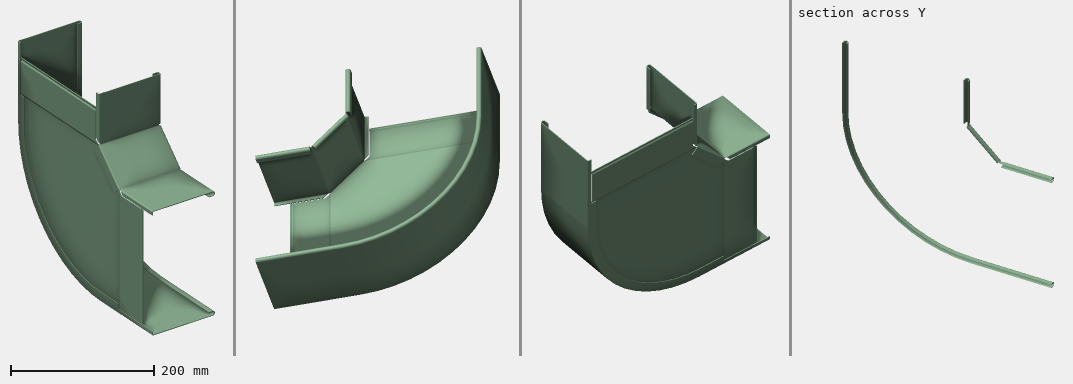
import cadquery as cq
import math


sheet = 1.2
length = 325.0
depth = 107.0
duct_width = 196.0
outer_radius = 200.0
inner_corner = 245.0
corner_radius = 1.6

front_bend = 2.0
lip_width = 7.5
lip_radius = lip_width / 2
hook_length = 10.0
slant_hook = 4.0
narrow_flange = 6.5
wide_flange = 15.0
wide_flange_end = inner_corner - 2.0
lip_gap = 1.0
mitre_offset = 2.5

tongue_margin = 8.2
tongue_end = 302.0
joggle_length = 3.0
flare_offset = 2.5
groove_start = 295.6
groove_slope = 1.8
groove_floor = 1.6
groove_depth = sheet

Y_AXIS = cq.Vector(0, 1, 0)
SYMMETRY_NORMAL = cq.Vector(1, 0, -1)
half_root = math.sqrt(0.5)
corner_sum = duct_width + inner_corner
corner_angle = 45.0
corner_setback = corner_radius * math.tan(math.radians(corner_angle / 2))
leg_start = inner_corner + corner_setback


def section_plane(x, z, inward):
    """Plane whose local x is the inward direction and whose local y is +Y."""
    inward = cq.Vector(*inward)
    return cq.Plane(origin=(x, 0, z), xDir=inward, normal=inward.cross(Y_AXIS))


def wall_section(plane, flange, hook=hook_length):
    """Closed outline of a wall with its front flange and its hooked back lip."""
    lip_start = depth - lip_radius
    hook_end = depth - hook
    inner_bend = front_bend - sheet
    bend_outer = front_bend * (1 - half_root)
    bend_inner = front_bend - inner_bend * half_root
    return (
        cq.Workplane(plane)
        .moveTo(0, front_bend)
        .lineTo(0, lip_start)
        .threePointArc((lip_radius, depth), (lip_width, lip_start))
        .lineTo(lip_width, hook_end)
        .lineTo(lip_width - sheet, hook_end)
        .lineTo(lip_width - sheet, lip_start)
        .threePointArc((lip_radius, depth - sheet), (sheet, lip_start))
        .lineTo(sheet, front_bend)
        .threePointArc((bend_inner, bend_inner), (front_bend, sheet))
        .lineTo(flange, sheet)
        .lineTo(flange, 0)
        .lineTo(front_bend, 0)
        .threePointArc((bend_outer, bend_outer), (0, front_bend))
        .close()
    )


def front_outline(points, y_start, y_end):
    """Prism over a polygon of (x, z) points, from y_start to y_end."""
    plane = cq.Plane(origin=(0, y_start, 0), xDir=(1, 0, 0), normal=(0, -1, 0))
    return cq.Workplane(plane).polyline(points).close().extrude(y_start - y_end)


def mirrored(body):
    """Copy of a body reflected in the symmetry plane x = z."""
    return cq.Workplane(body.val().mirror(SYMMETRY_NORMAL))


def make_outer_wall():
    """Curved wall with a straight leg at each end."""
    inward = (1, 0, 0)
    leg = wall_section(section_plane(0, length, inward), narrow_flange).extrude(wide_flange_end - length)
    leg_foot = wall_section(section_plane(0, wide_flange_end, inward), wide_flange)
    leg = leg.union(leg_foot.extrude(outer_radius - wide_flange_end))
    curve = wall_section(section_plane(0, outer_radius, inward), wide_flange).revolve(
        90, (outer_radius, 0, 0), (outer_radius, -1, 0)
    )
    return curve.union(leg).union(mirrored(leg))


def make_lip_relief(x_end, y_start):
    """Block that shortens the lip of the upper leg, for x below x_end and y above y_start."""
    return (
        cq.Workplane("XY", origin=(x_end - wide_flange, y_start, leg_start))
        .box(wide_flange, depth - y_start, lip_gap, centered=False)
    )


def make_inner_leg():
    """Straight inner wall of the upper mouth, down to the bend of the inner corner."""
    leg = wall_section(section_plane(duct_width, leg_start, (-1, 0, 0)), narrow_flange).extrude(
        leg_start - length
    )
    mitre_sum = corner_sum + mitre_offset
    mitre_start = duct_width - 2 * wide_flange
    flange_mitre = front_outline(
        [(mitre_start, 0), (duct_width, 0), (duct_width, mitre_sum - duct_width),
         (mitre_start, mitre_sum - mitre_start)],
        0, front_bend,
    )
    lip_relief = make_lip_relief(duct_width, depth - lip_radius)
    hook_relief = make_lip_relief(duct_width - lip_radius, depth - hook_length)
    corner_bend = (
        cq.Workplane(section_plane(duct_width, leg_start, (-1, 0, 0)))
        .moveTo(0, front_bend)
        .rect(sheet, depth - lip_radius - front_bend, centered=False)
        .revolve(corner_angle, (-corner_radius, 0, 0), (-corner_radius, -1, 0))
    )
    return leg.cut(flange_mitre).cut(lip_relief).cut(hook_relief).union(corner_bend)


def make_inner_wall():
    """Slanted wall across the inner corner with a straight leg at each end."""
    slant_length = (inner_corner - duct_width) / half_root - 2 * corner_setback
    inset = corner_setback * half_root
    slant_plane = section_plane(duct_width + inset, inner_corner - inset, (-half_root, 0, -half_root))
    slant = wall_section(slant_plane, wide_flange, slant_hook).extrude(slant_length)
    leg = make_inner_leg()
    return slant.union(leg).union(mirrored(leg))


def make_tongue():
    """Upper tongue: steps forward to the front face and has a groove across its end."""
    joggle_top = wide_flange_end + joggle_length
    floor_start = groove_start + groove_slope
    floor_end = floor_start + groove_floor
    front_edge = [
        (sheet, wide_flange_end),
        (0, joggle_top),
        (0, groove_start),
        (groove_depth, floor_start),
        (groove_depth, floor_end),
        (0, floor_end + groove_slope),
        (0, tongue_end),
    ]
    back_edge = [(y + sheet, z) for y, z in reversed(front_edge)]
    ribbon = cq.Workplane("YZ").polyline(front_edge + back_edge).close().extrude(duct_width)
    right_side = duct_width - tongue_margin
    flare_sum = corner_sum - flare_offset
    base_right = duct_width - sheet
    outline = front_outline(
        [
            (tongue_margin, wide_flange_end),
            (base_right, wide_flange_end),
            (base_right, flare_sum - base_right),
            (right_side, flare_sum - right_side),
            (right_side, tongue_end),
            (tongue_margin, tongue_end),
        ],
        0, groove_depth + sheet,
    )
    return ribbon.intersect(outline)


def make_base_plate():
    """Flat plate lying behind the wide flanges, with a tongue into each mouth."""
    edge = front_bend
    arc_middle = outer_radius - (outer_radius - edge) * half_root
    plane = cq.Plane(origin=(0, sheet, 0), xDir=(1, 0, 0), normal=(0, -1, 0))
    slant_sum = corner_sum - front_bend / half_root
    plate = (
        cq.Workplane(plane)
        .moveTo(edge, wide_flange_end)
        .lineTo(edge, outer_radius)
        .threePointArc((arc_middle, arc_middle), (outer_radius, edge))
        .lineTo(wide_flange_end, edge)
        .lineTo(wide_flange_end, slant_sum - wide_flange_end)
        .lineTo(slant_sum - wide_flange_end, wide_flange_end)
        .close()
        .extrude(-sheet)
    )
    tongue = make_tongue()
    return plate.union(tongue).union(mirrored(tongue))


outer_wall = make_outer_wall()
inner_wall = make_inner_wall()
base_plate = make_base_plate()

result = cq.Compound.makeCompound([outer_wall.val(), inner_wall.val(), base_plate.val()])